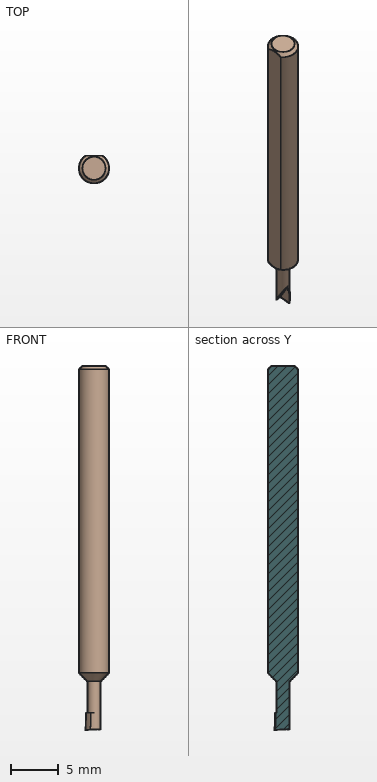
import cadquery as cq
import math


total_length = 38.1
shank_diameter = 3.175
shank_radius = shank_diameter / 2
shank_depth_over_flat = 2.92
flat_y = shank_depth_over_flat - shank_radius
top_chamfer = 0.38

neck_radius = 0.7
cone_top_z = 5.98
cone_bottom_z = cone_top_z - (shank_radius - neck_radius)

tip_reach = 0.9
tooth_height = 1.83
back_taper_angle = 2.0
heel_x = -0.38
relief_bulge = 0.03

gullet_top_z = 2.4
gullet_angle = 25.5

end_relief_angle = 3.5


def make_bar():
    """Shank, cone and neck as one turned profile."""
    profile = [
        (0, 0),
        (neck_radius, 0),
        (neck_radius, cone_bottom_z),
        (shank_radius, cone_top_z),
        (shank_radius, total_length - top_chamfer),
        (shank_radius - top_chamfer, total_length),
        (0, total_length),
    ]
    return cq.Workplane("XZ").polyline(profile).close().revolve(360, (0, 0), (0, 1))


def cut_shank_flat(body):
    """Flat along the +Y side of the shank."""
    flat_cutter = cq.Workplane("XY").box(
        shank_diameter, shank_diameter, total_length, centered=(True, False, False)
    )
    return body.cut(flat_cutter.translate((0, flat_y, 0)))


def tooth_outline(plane_z, taper_shift):
    """Tooth section: rake face, convex side relief and a heel tangent to the neck."""
    tip_x = -tip_reach + taper_shift
    heel_edge_x = heel_x + taper_shift
    relief_length = math.hypot(heel_edge_x - tip_x, neck_radius)
    bulge_x = -relief_bulge * neck_radius / relief_length
    bulge_y = -relief_bulge * (heel_edge_x - tip_x) / relief_length
    relief_middle = ((tip_x + heel_edge_x) / 2 + bulge_x, -neck_radius / 2 + bulge_y)
    return (
        cq.Workplane("XY", origin=(0, 0, plane_z))
        .moveTo(tip_x, 0)
        .threePointArc(relief_middle, (heel_edge_x, -neck_radius))
        .lineTo(0, -neck_radius)
        .lineTo(0, 0)
        .close()
        .val()
    )


def add_tooth(body):
    """Tooth in place of the neck's -X, -Y quarter; its side relief leans inwards with height."""
    quarter = cq.Workplane("XY").box(
        shank_radius, shank_radius, tooth_height, centered=False
    )
    body = body.cut(quarter.translate((-shank_radius, -shank_radius, 0)))
    taper_shift = tooth_height * math.tan(math.radians(back_taper_angle))
    lower = tooth_outline(0, 0)
    upper = tooth_outline(tooth_height, taper_shift)
    return body.union(cq.Workplane(cq.Solid.makeLoft([lower, upper], True)))


def cut_gullet(body):
    """Sloping clearance on the +Y side that exposes the rake face."""
    slope_run = gullet_top_z * math.tan(math.radians(gullet_angle))
    gullet_side = [
        (-neck_radius, gullet_top_z),
        (-neck_radius + slope_run, 0),
        (-shank_radius, 0),
        (-shank_radius, gullet_top_z),
    ]
    gullet = cq.Workplane("XZ").polyline(gullet_side).close().extrude(-shank_radius)
    return body.cut(gullet)


def cut_end_relief(body):
    """Tilt the end face so that only the tip reaches z = 0."""
    relief = cq.Workplane("XY").box(
        2 * shank_diameter, 2 * shank_diameter, shank_radius, centered=(True, True, False)
    )
    relief = relief.translate((0, 0, -shank_radius))
    relief = relief.rotate((0, 0, 0), (0, 1, 0), -end_relief_angle)
    relief = relief.rotate((0, 0, 0), (1, 0, 0), -end_relief_angle)
    return body.cut(relief.translate((-tip_reach, 0, 0)))


result = make_bar()
result = cut_shank_flat(result)
result = add_tooth(result)
result = cut_gullet(result)
result = cut_end_relief(result)